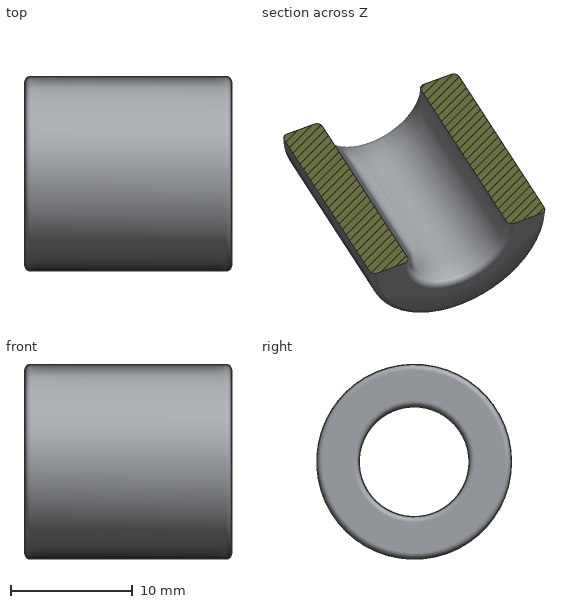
import cadquery as cq

length = 17.0
outer_diameter = 16.0
bore_diameter = 9.0
rim_radius = 0.5


def make_sleeve():
    """Hollow cylinder centred on the origin, with its axis along X."""
    return (
        cq.Workplane("YZ", origin=(-length / 2, 0, 0))
        .circle(outer_diameter / 2)
        .circle(bore_diameter / 2)
        .extrude(length)
    )


def round_rims(sleeve):
    """Round the outer and bore edges of both end faces."""
    return sleeve.faces("<X or >X").edges().fillet(rim_radius)


result = round_rims(make_sleeve())